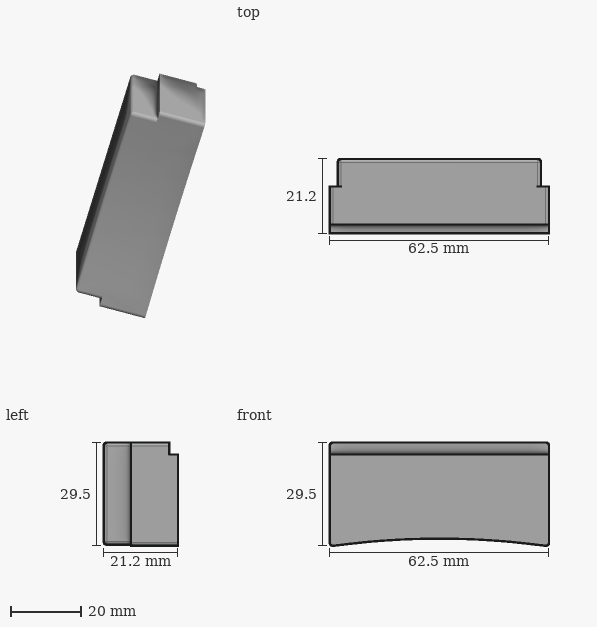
import cadquery as cq
import math

length = 62.5
depth = 21.25
mid_height = 27.4
arc_radius = 220.0
edge_radius = 1.0

front_depth = 13.45
rear_depth = depth - front_depth
end_inset = 2.3
rear_length = length - 2 * end_inset

rebate_depth = 2.5
rebate_height = 3.4


def arched_block(block_length, y_front, block_depth):
    """Block with a flat top at Z = 0, an arched underside and rounded long corners."""
    half = block_length / 2
    arc_drop = arc_radius - math.sqrt(arc_radius**2 - half**2)
    corner_z = -mid_height - arc_drop
    return (
        cq.Workplane("XZ", origin=(0, y_front, 0))
        .moveTo(-half, 0)
        .lineTo(half, 0)
        .lineTo(half, corner_z)
        .threePointArc((0, -mid_height), (-half, corner_z))
        .close()
        .extrude(-block_depth)
        .edges("|Y")
        .fillet(edge_radius)
    )


front_section = arched_block(length, 0, front_depth)

rear_section = arched_block(rear_length, front_depth, rear_depth).faces(">Y").edges().fillet(edge_radius)

rebate = cq.Workplane("XY").box(length, rebate_depth, rebate_height, centered=(True, False, False))
rebate = rebate.translate((0, 0, -rebate_height))

result = front_section.union(rear_section).cut(rebate)